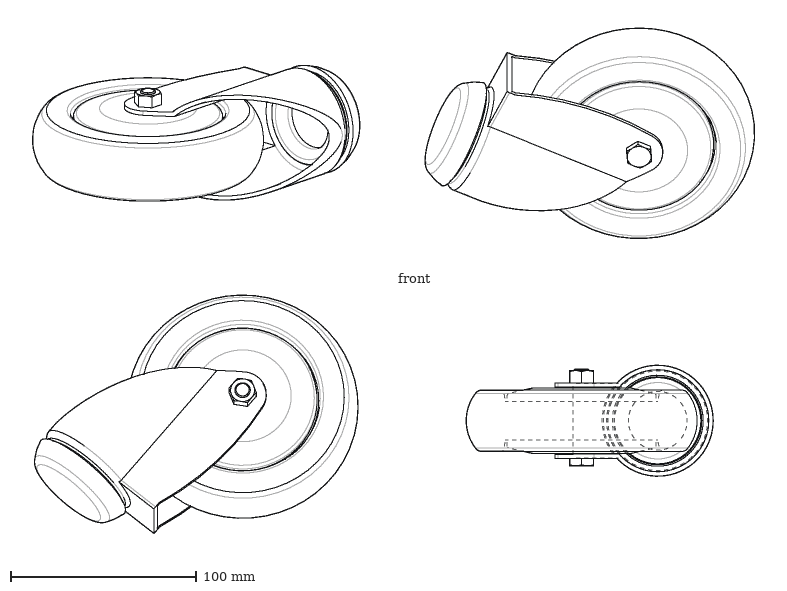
import cadquery as cq
import math


wheel_radius = 62.4
tread_edge_radius = 57.5
tread_half_width = 14.7
tyre_shoulder_mid = (56.3, 15.8)
tyre_face_radius = 54.9
tyre_half_width = 16.5
tyre_edge_rounding = 1.8
groove_outer_radius = 41.9
groove_floor_outer_radius = 41.1
groove_inner_radius = 80.5 / 2
groove_half_width = 10.4
cone_outer_radius = 77.5 / 2
cone_outer_half_width = 14.9
cone_edge_rounding = groove_inner_radius - cone_outer_radius
hub_radius = 26.2
hub_half_width = 17.8

swivel_x = 41.1
yoke_radius = 29.9
leg_outer_z = 20.5
yoke_reach = 16.0
wall = 2.4
leg_inner_z = leg_outer_z - wall
yoke_inner_radius = yoke_radius - wall
yoke_top = 81.0
plate_thickness = 2.9
plate_edge_height = 1.5
plate_edge_inset = 0.3
yoke_ceiling = yoke_top - plate_thickness
leg_back_x = -4.6
leg_straight_bottom = 76.1
leg_end_radius = 12.8
leg_back_mid = (-13.6, 36.8)
leg_back_end = (-12.6, -1.9)
leg_front_start = (6.7, -10.9)
front_edge_mid = (46.9, 27.7)
front_edge_top = (71.0, 77.5)

shoulder_bottom = 79.5
shoulder_mid = (29.0, 81.5)
shoulder_top = (55.2 / 2, 83.0)
neck_radius = 53.7 / 2
neck_bottom = 84.3
cap_bottom = 85.7
cap_radius = 60.0 / 2
cap_top = 97.5
cap_side_mid = (28.6, 90.2)
cap_side_top = (26.2, 94.7)
cap_edge_mid = (24.6, 96.6)
cap_top_radius = 22.2

gap_outer_radius = 49.1 / 2
gap_inner_radius = 47.5 / 2
gap_top = 82.2
plug_edge_chamfer = 0.5
bore_radius = 31.7 / 2
bore_rounding = 4.8
bore_depth = 8.0

bolt_diameter = 8.3
bolt_tip_z = 27.8
bolt_chamfer = 0.6
hex_across_flats = 13.0
nut_top_z = 27.0
hex_edge_angle = math.radians(30)
head_bottom_z = -24.3


def prism(sketch, z_from, z_to):
    """Extrude a closed XY outline between two Z levels."""
    return sketch.extrude(z_to - z_from).translate((0, 0, z_from))


def arc_mid(start, end, center):
    """Middle point of the arc from start to end round the given center."""
    radius = math.dist(start, center)
    offset_x = (start[0] + end[0]) / 2 - center[0]
    offset_y = (start[1] + end[1]) / 2 - center[1]
    stretch = radius / math.hypot(offset_x, offset_y)
    return (center[0] + offset_x * stretch, center[1] + offset_y * stretch)


def make_half_disc():
    """Wheel inside the tyre shoulders, on one side of its middle plane."""
    cone_edge = (cone_outer_radius, cone_outer_half_width)
    cone_side = (groove_inner_radius, cone_outer_half_width - cone_edge_rounding)
    cone_center = (cone_outer_radius, cone_side[1])
    tyre_side = (groove_outer_radius, tyre_half_width - tyre_edge_rounding)
    tyre_edge = (groove_outer_radius + tyre_edge_rounding, tyre_half_width)
    tyre_center = (tyre_edge[0], tyre_side[1])
    section = (
        cq.Workplane("XZ")
        .lineTo(0, hub_half_width)
        .lineTo(hub_radius, hub_half_width)
        .lineTo(*cone_edge)
        .threePointArc(arc_mid(cone_edge, cone_side, cone_center), cone_side)
        .lineTo(groove_inner_radius, groove_half_width)
        .lineTo(groove_floor_outer_radius, groove_half_width)
        .lineTo(*tyre_side)
        .threePointArc(arc_mid(tyre_side, tyre_edge, tyre_center), tyre_edge)
        .lineTo(tyre_face_radius, tyre_half_width)
        .lineTo(tyre_face_radius, 0)
        .close()
    )
    return section.revolve(360, (0, 0), (0, 1))


def make_tread():
    """Outer ring of the tyre: crowned tread between two rounded shoulders."""
    shoulder_r, shoulder_z = tyre_shoulder_mid
    section = (
        cq.Workplane("XZ")
        .moveTo(tyre_face_radius, -tyre_half_width)
        .lineTo(tyre_face_radius, tyre_half_width)
        .threePointArc((shoulder_r, shoulder_z), (tread_edge_radius, tread_half_width))
        .threePointArc((wheel_radius, 0), (tread_edge_radius, -tread_half_width))
        .threePointArc((shoulder_r, -shoulder_z), (tyre_face_radius, -tyre_half_width))
        .close()
    )
    return section.revolve(360, (0, 0), (0, 1))


def make_wheel():
    """Wheel with two equal faces."""
    half = make_half_disc()
    return make_tread().union(half).union(half.mirror("XY"))


def around_swivel(section):
    """Revolve a section given as radius and Y about the swivel axis."""
    return section.close().revolve(360, (0, 0), (0, 1)).translate((swivel_x, 0, 0))


def channel(half_width, radius, y_from, y_to):
    """Straight channel from the back of the legs that ends in a cylinder on the swivel axis."""
    height = y_to - y_from
    length = swivel_x + yoke_reach
    block = cq.Workplane("XY").box(length, height, 2 * half_width, centered=(False, False, True))
    block = block.translate((-yoke_reach, y_from, 0))
    tube = around_swivel(cq.Workplane("XY").moveTo(0, y_from).lineTo(radius, y_from)
                         .lineTo(radius, y_to).lineTo(0, y_to))
    return block.union(tube)


def make_top_plate():
    """Top of the plate joining the legs, with slightly sloped long edges."""
    lower_y = yoke_top - plate_edge_height
    upper_half_width = leg_outer_z - plate_edge_inset
    return (
        cq.Workplane("YZ")
        .moveTo(lower_y, -leg_outer_z)
        .lineTo(yoke_top, -upper_half_width)
        .lineTo(yoke_top, upper_half_width)
        .lineTo(lower_y, leg_outer_z)
        .close()
        .extrude(swivel_x - leg_back_x)
        .translate((leg_back_x, 0, 0))
    )


def make_yoke():
    """Hollow yoke: two legs joined by a top plate and a round front wall, trimmed to shape."""
    shell = channel(leg_outer_z, yoke_radius, -yoke_reach, shoulder_bottom)
    plate = make_top_plate()
    hollow = channel(leg_inner_z, yoke_inner_radius, -yoke_reach, yoke_ceiling)
    side_outline = (
        cq.Workplane("XY")
        .moveTo(leg_back_x, yoke_top)
        .lineTo(leg_back_x, leg_straight_bottom)
        .threePointArc(leg_back_mid, leg_back_end)
        .threePointArc((0, -leg_end_radius), leg_front_start)
        .threePointArc(front_edge_mid, front_edge_top)
        .lineTo(front_edge_top[0], yoke_top)
        .close()
    )
    trim = prism(side_outline, -cap_radius, cap_radius)
    return shell.union(plate).cut(hollow).intersect(trim)


def make_swivel_head():
    """Shoulder, neck and domed cap above the yoke."""
    return around_swivel(
        cq.Workplane("XY")
        .moveTo(0, yoke_ceiling)
        .lineTo(yoke_radius, yoke_ceiling)
        .lineTo(yoke_radius, shoulder_bottom)
        .threePointArc(shoulder_mid, shoulder_top)
        .lineTo(neck_radius, neck_bottom)
        .lineTo(neck_radius, cap_bottom)
        .lineTo(cap_radius, cap_bottom)
        .threePointArc(cap_side_mid, cap_side_top)
        .threePointArc(cap_edge_mid, (cap_top_radius, cap_top))
        .lineTo(0, cap_top)
    )


def make_ceiling_recess():
    """Ring recess in the underside: rounded under the shoulder, then a narrow gap round the plug."""
    side = (yoke_inner_radius, yoke_ceiling)
    crown = (gap_outer_radius, yoke_ceiling + yoke_inner_radius - gap_outer_radius)
    return around_swivel(
        cq.Workplane("XY")
        .moveTo(*side)
        .threePointArc(arc_mid(side, crown, (gap_outer_radius, yoke_ceiling)), crown)
        .lineTo(gap_outer_radius, gap_top)
        .lineTo(gap_inner_radius, gap_top)
        .lineTo(gap_inner_radius, yoke_ceiling + plug_edge_chamfer)
        .lineTo(gap_inner_radius - plug_edge_chamfer, yoke_ceiling)
    )


def make_bore():
    """Blind bore in the middle of the underside, with a rounded mouth."""
    mouth = (bore_radius + bore_rounding, yoke_ceiling)
    throat = (bore_radius, yoke_ceiling + bore_rounding)
    return around_swivel(
        cq.Workplane("XY")
        .moveTo(0, yoke_ceiling)
        .lineTo(*mouth)
        .threePointArc(arc_mid(mouth, throat, (mouth[0], throat[1])), throat)
        .lineTo(bore_radius, yoke_ceiling + bore_depth)
        .lineTo(0, yoke_ceiling + bore_depth)
    )


def make_hexagon(z_seat, z_end):
    """Hexagon on the axle, flats facing along X, with its corners beveled at the outer end."""
    flat_radius = hex_across_flats / 2
    corner_radius = flat_radius / math.cos(math.pi / 6)
    bevel = (corner_radius - flat_radius) * math.tan(hex_edge_angle)
    height = abs(z_end - z_seat)
    blank = cq.Workplane("XY").polygon(6, 2 * corner_radius).extrude(height)
    blank = blank.rotate((0, 0, 0), (0, 0, 1), 30)
    envelope = (
        cq.Workplane("XZ")
        .lineTo(corner_radius, 0)
        .lineTo(corner_radius, height - bevel)
        .lineTo(flat_radius, height)
        .lineTo(0, height)
        .close()
        .revolve(360, (0, 0), (0, 1))
    )
    hexagon = blank.intersect(envelope)
    if z_end < z_seat:
        hexagon = hexagon.mirror("XY")
    return hexagon.translate((0, 0, z_seat))


def make_axle():
    """Through bolt with its head below and a nut above."""
    bolt = prism(cq.Workplane("XY").circle(bolt_diameter / 2), head_bottom_z, bolt_tip_z)
    bolt = bolt.faces(">Z").chamfer(bolt_chamfer)
    nut = make_hexagon(leg_outer_z, nut_top_z)
    head = make_hexagon(-leg_outer_z, head_bottom_z)
    return bolt.union(nut).union(head)


housing = make_yoke().union(make_swivel_head()).cut(make_ceiling_recess()).cut(make_bore())
result = housing.union(make_wheel()).union(make_axle())